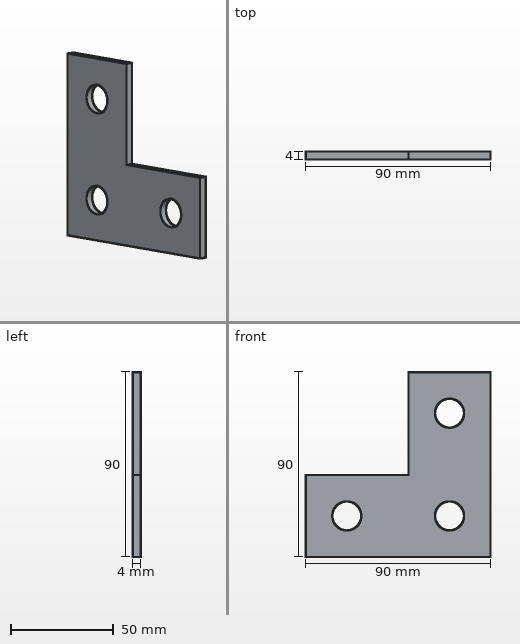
import cadquery as cq

leg_length = 90.0
leg_width = 40.0
thickness = 4.0
hole_diameter = 14.0

edge_distance = leg_width / 2
hole_spacing = 50.0
corner_hole_x = leg_length - edge_distance
corner_hole_z = edge_distance
hole_centres = [
    (corner_hole_x, corner_hole_z),
    (corner_hole_x - hole_spacing, corner_hole_z),
    (corner_hole_x, corner_hole_z + hole_spacing),
]


def make_plate():
    """L-shaped plate in the XZ plane, from Y = 0 to Y = thickness."""
    inner_corner_x = leg_length - leg_width
    outline = [
        (0, 0),
        (leg_length, 0),
        (leg_length, leg_length),
        (inner_corner_x, leg_length),
        (inner_corner_x, leg_width),
        (0, leg_width),
    ]
    return cq.Workplane("XZ").polyline(outline).close().extrude(-thickness)


def make_holes():
    """Cylinders for the three through holes."""
    return cq.Workplane("XZ").pushPoints(hole_centres).circle(hole_diameter / 2).extrude(-thickness)


result = make_plate().cut(make_holes())